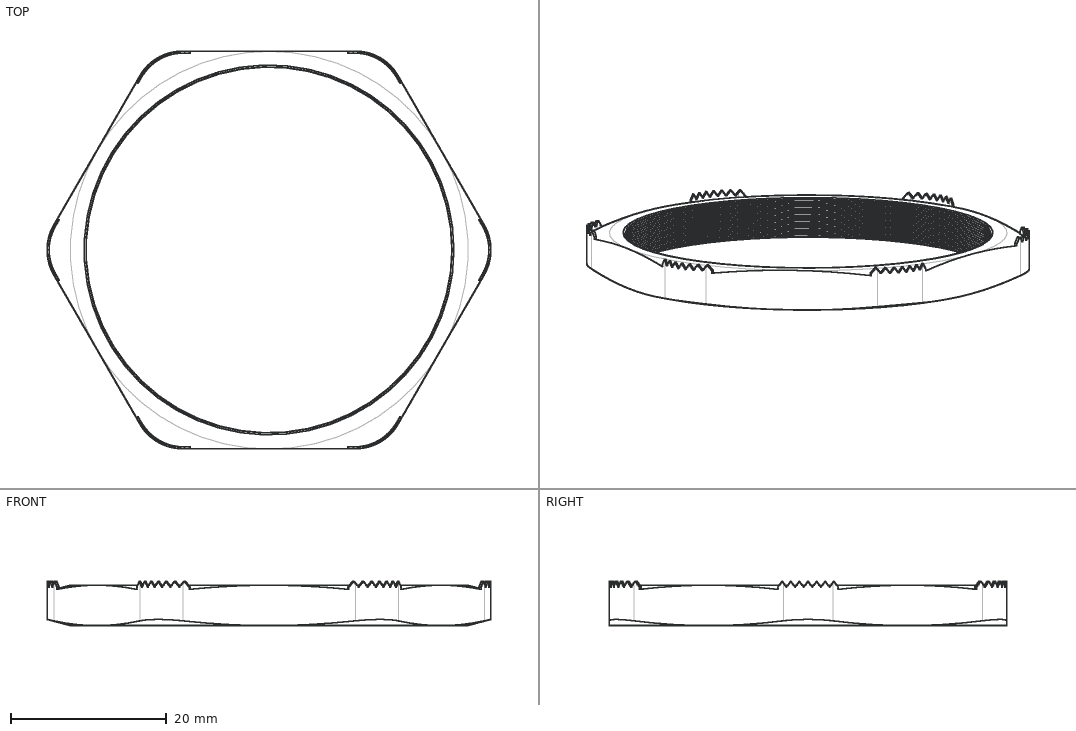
import cadquery as cq
import math


across_flats = 51.05
across_corners = 57.0
body_height = 5.2
chamfer_angle = 15.0

overall_height = 5.7
ridge_thickness = 0.255
tooth_count = 7
ridge_width = 7.75
tooth_depth = 0.75

bore_radius = 23.5
crest_count = 17
thread_flank_angle = 30.0

corner_count = 6
flat_radius = across_flats / 2
corner_radius = across_corners / 2
sharp_corner_ratio = 1 / math.cos(math.pi / corner_count)
sharp_corner_radius = flat_radius * sharp_corner_ratio
corner_fillet = (sharp_corner_radius - corner_radius) / (sharp_corner_ratio - 1)


def rounded_hexagon(inset, height):
    """Hexagonal prism with rounded corners, its flats moved inwards by the inset."""
    sharp_diameter = 2 * (flat_radius - inset) * sharp_corner_ratio
    prism = cq.Workplane("XY").polygon(corner_count, sharp_diameter).extrude(height)
    return prism.edges("|Z").fillet(corner_fillet - inset)


def chamfer_envelope():
    """Disc with conical top and bottom; the cones start at the circle touching the flats."""
    rim_radius = sharp_corner_radius
    drop = (rim_radius - flat_radius) * math.tan(math.radians(chamfer_angle))
    half_section = [
        (0, 0),
        (flat_radius, 0),
        (rim_radius, drop),
        (rim_radius, body_height - drop),
        (flat_radius, body_height),
        (0, body_height),
    ]
    return cq.Workplane("XZ").polyline(half_section).close().revolve(360, (0, 0), (0, 1))


def threaded_bore():
    """Solid filling the bore between sharp ring crests, with a full-width root at each end."""
    thread_pitch = body_height / crest_count
    crest_depth = thread_pitch / 2 / math.tan(math.radians(thread_flank_angle))
    root_radius = bore_radius + crest_depth
    half_section = [(0, 0), (root_radius, 0)]
    for i in range(crest_count):
        crest_start = i * thread_pitch
        half_section.append((bore_radius, crest_start + thread_pitch / 2))
        half_section.append((root_radius, crest_start + thread_pitch))
    half_section.append((0, body_height))
    return cq.Workplane("XZ").polyline(half_section).close().revolve(360, (0, 0), (0, 1))


def tooth_block():
    """Sawtooth profile across the +X corner, run radially over the ridge."""
    root_height = overall_height - tooth_depth
    base_height = body_height / 2
    half_width = ridge_width / 2
    tooth_pitch = ridge_width / tooth_count
    profile = [(-half_width, base_height), (-half_width, root_height)]
    for i in range(tooth_count):
        tooth_start = -half_width + i * tooth_pitch
        profile.append((tooth_start + tooth_pitch / 2, overall_height))
        profile.append((tooth_start + tooth_pitch, root_height))
    profile.append((half_width, base_height))
    start = cq.Workplane("YZ").workplane(offset=flat_radius)
    return start.polyline(profile).close().extrude(sharp_corner_radius - flat_radius)


trim = chamfer_envelope()
inner_hexagon = rounded_hexagon(ridge_thickness, overall_height)
corner_teeth = tooth_block().cut(inner_hexagon)
for i in range(corner_count):
    corner_angle = i * 360 / corner_count
    trim = trim.union(corner_teeth.rotate((0, 0, 0), (0, 0, 1), corner_angle))

result = rounded_hexagon(0, overall_height).intersect(trim).cut(threaded_bore())